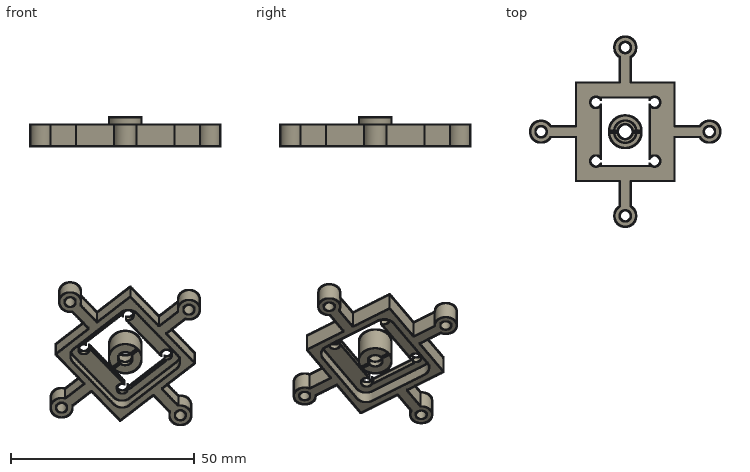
import cadquery as cq

overall_span = 52.0
frame_side = 27.0
frame_height = 6.05
window_x = 13.25
window_y = 18.6
rim_thickness = 2.0
pocket_side = 23.0
pocket_corner_radius = 3.0
corner_hole_pitch = 16.0
hole_diameter = 3.0

eye_diameter = 6.05
arm_width = 3.0
arm_count = 4
eye_radius_from_center = (overall_span - eye_diameter) / 2

hub_diameter = 9.0
hub_height = 8.0
bore_diameter = 6.1
shaft_hole_diameter = 4.0
hub_floor = 2.0
slot_length = 8.0
slot_width = 0.5


def make_arm():
    """Arm along +X from the frame center to the end of its eye, without the eye hole."""
    bar = cq.Workplane("XY").box(
        eye_radius_from_center, arm_width, frame_height, centered=(False, True, False)
    )
    eye = (
        cq.Workplane("XY")
        .center(eye_radius_from_center, 0)
        .circle(eye_diameter / 2)
        .extrude(frame_height)
    )
    return bar.union(eye)


def make_frame():
    """Square frame with four arms, hollowed from below and open through a window."""
    frame = cq.Workplane("XY").rect(frame_side, frame_side).extrude(frame_height)
    arm = make_arm()
    for index in range(arm_count):
        angle = index * 360 / arm_count
        frame = frame.union(arm.rotate((0, 0, 0), (0, 0, 1), angle))

    eye_holes = (
        cq.Workplane("XY")
        .polarArray(eye_radius_from_center, 0, 360, arm_count)
        .circle(hole_diameter / 2)
        .extrude(frame_height)
    )
    corner_holes = (
        cq.Workplane("XY")
        .rect(corner_hole_pitch, corner_hole_pitch, forConstruction=True)
        .vertices()
        .circle(hole_diameter / 2)
        .extrude(frame_height)
    )
    window = cq.Workplane("XY").rect(window_x, window_y).extrude(frame_height)
    pocket = (
        cq.Workplane("XY")
        .rect(pocket_side, pocket_side)
        .extrude(frame_height - rim_thickness)
        .edges("|Z")
        .fillet(pocket_corner_radius)
    )
    return frame.cut(eye_holes).cut(corner_holes).cut(window).cut(pocket)


def make_hub():
    """Free-standing round hub with a stepped bore and a narrow slot across it."""
    hub = cq.Workplane("XY").circle(hub_diameter / 2).extrude(hub_height)
    shaft_hole = cq.Workplane("XY").circle(shaft_hole_diameter / 2).extrude(hub_height)
    bore = (
        cq.Workplane("XY", origin=(0, 0, hub_floor))
        .circle(bore_diameter / 2)
        .extrude(hub_height - hub_floor)
    )
    slot = cq.Workplane("XY").rect(slot_length, slot_width).extrude(hub_height)
    return hub.cut(shaft_hole).cut(bore).cut(slot)


frame = make_frame()
hub = make_hub()

result = cq.Compound.makeCompound([frame.val(), hub.val()])